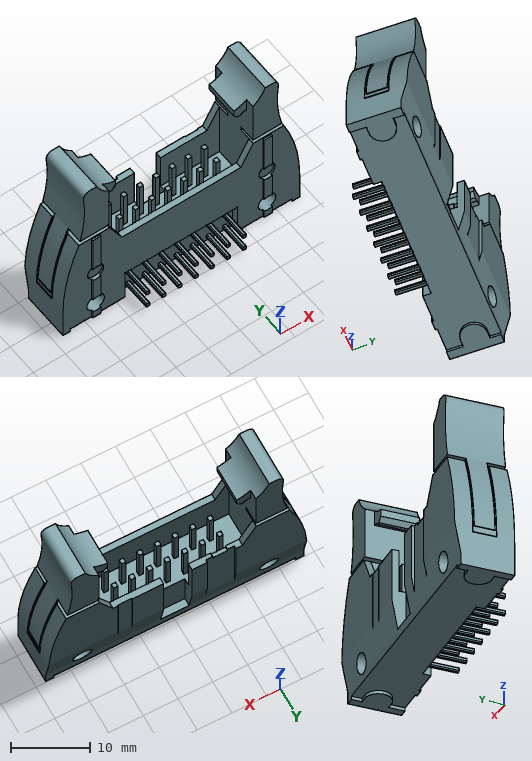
import cadquery as cq
import math


half_width = 18.55
depth = 8.2
body_bottom = 0.5
body_top = 16.95
low_wall_top = 13.43
low_wall_half_width = 9.3
arc_start_z = 4.82
side_radius = 30.8
side_center_x = half_width - side_radius

taper_top = 5.95
taper_bottom = 1.67
bottom_depth = 7.4

cavity_half_width = 11.28
cavity_front = 0.93
cavity_back = 7.25
cavity_floor = 7.5

key_width = 4.08
key_front = 6.3
key_bottom = 1.85
mark_width = 4.08
mark_center = -6.3
mark_depth = 0.4
mark_notch_width = 2.1
mark_notch_drop = 0.37
label_width = 1.95
label_center = 7.53
label_depth = 0.1

ridge_width = 1.2
foot_radius = 1.8
foot_round_x = 16.45
foot_y = 4.08

rib_x = 13.43
rib_width = 1.3
rib_height = 0.25
rib_top = 16.7
hole_z = 3.05
hole_radius = 1.37
pivot_z = 9.5
pivot_radius = 1.25
pivot_depth = 0.25

latch_y = 4.08
latch_bottom = 17.5
latch_top = 27.0
latch_width = 7.98
hook_width = 5.25
arm_width = 2.85
arm_bottom = 6.1
slot_width = 3.25
slot_bottom = 5.15
slot_depth = 0.1

pin_count = 7
pin_pitch = 2.52
pin_size = 0.63
pin_top = 13.32
pin_chamfer = 0.15
pin_root = 0.37
first_row_y = 2.85
first_tail_z = 1.25
tail_length = 3.2
tail_recess_half_width = 8.83
tail_recess_top = 5.5
tail_recess_depth = 1.15


def block(x_min, x_max, y_min, y_max, z_min, z_max):
    """Box given by its limits along each axis."""
    size = (x_max - x_min, y_max - y_min, z_max - z_min)
    return cq.Workplane("XY").box(*size, centered=False).translate((x_min, y_min, z_min))


def on_both_sides(shape):
    return shape.union(shape.mirror("YZ"))


def extrude_along_y(sketch, y_min, y_max):
    """Extrude a closed XZ sketch between two Y positions."""
    return sketch.extrude(y_min - y_max).translate((0, y_min, 0))


def side_x(z):
    """Half width of the curved side at height z."""
    return side_center_x + math.sqrt(side_radius**2 - (z - arc_start_z) ** 2)


def make_body():
    middle_z = (arc_start_z + body_top) / 2
    half_outline = (
        cq.Workplane("XZ")
        .moveTo(0, body_bottom)
        .lineTo(half_width, body_bottom)
        .lineTo(half_width, arc_start_z)
        .threePointArc((side_x(middle_z), middle_z), (side_x(body_top), body_top))
        .lineTo(cavity_half_width, body_top)
        .lineTo(low_wall_half_width, low_wall_top)
        .lineTo(0, low_wall_top)
        .close()
    )
    body = on_both_sides(extrude_along_y(half_outline, 0, depth))
    cavity = block(-cavity_half_width, cavity_half_width, cavity_front, cavity_back, cavity_floor, body_top)
    tail_recess = block(
        -tail_recess_half_width, tail_recess_half_width, 0, tail_recess_depth, body_bottom, tail_recess_top
    )
    return body.cut(cavity).cut(tail_recess)


def make_feet():
    ridge_inner = half_width - ridge_width
    ridge = block(ridge_inner, half_width, 0, depth, 0, body_bottom)
    pad = block(foot_round_x, ridge_inner, foot_y - foot_radius, foot_y + foot_radius, 0, body_bottom)
    round_end = cq.Workplane("XY").center(foot_round_x, foot_y).circle(foot_radius).extrude(body_bottom)
    return on_both_sides(ridge.union(pad).union(round_end))


def make_back_taper():
    """Wedge removed from the lower back of the body and feet."""
    return (
        cq.Workplane("YZ")
        .moveTo(depth, taper_top)
        .lineTo(bottom_depth, taper_bottom)
        .lineTo(bottom_depth, 0)
        .lineTo(depth, 0)
        .close()
        .extrude(half_width, both=True)
    )


def back_wall_cut(center, width, y_min, z_min):
    return block(center - width / 2, center + width / 2, y_min, depth, z_min, low_wall_top)


def make_back_wall_cuts():
    key = back_wall_cut(0, key_width, key_front, key_bottom)
    mark = back_wall_cut(mark_center, mark_width, depth - mark_depth, body_bottom)
    notch = back_wall_cut(mark_center, mark_notch_width, cavity_back, low_wall_top - mark_notch_drop)
    label = back_wall_cut(label_center, label_width, depth - label_depth, body_bottom)
    return key.union(mark).union(notch).union(label)


def make_ribs():
    return on_both_sides(
        block(rib_x - rib_width / 2, rib_x + rib_width / 2, -rib_height, 0, body_bottom, rib_top)
    )


def make_front_holes():
    """Through mounting holes and shallow round recesses, also cutting the ribs."""
    hole = extrude_along_y(cq.Workplane("XZ").center(rib_x, hole_z).circle(hole_radius), -rib_height, depth)
    recess = extrude_along_y(
        cq.Workplane("XZ").center(rib_x, pivot_z).circle(pivot_radius), -rib_height, pivot_depth
    )
    return on_both_sides(hole.union(recess))


def make_latch_slots():
    """Shallow slots that follow the curved sides around the latch arms."""
    slot_front = latch_y - slot_width / 2
    slot_back = latch_y + slot_width / 2
    slot = block(cavity_half_width, half_width, slot_front, slot_back, slot_bottom, body_top)
    slot_floor = extrude_along_y(
        cq.Workplane("XZ").center(side_center_x, arc_start_z).circle(side_radius - slot_depth),
        slot_front,
        slot_back,
    )
    return on_both_sides(slot.cut(slot_floor))


def make_latches():
    inner_x = cavity_half_width
    waist = (15.17, 21.5)
    shoulder = (15.3, 25.85)
    shoulder_middle = (15.03, 26.67)
    shoulder_end_x = 14.3
    thumb_start_x = 13.2
    thumb_middle = (11.87, 25.05)
    hook_tip_x = 9.28
    hook_tip_top = 23.7
    hook_tip_bottom = 22.7
    hook_lip_start_x = 9.87
    hook_lip_end_x = 10.4
    hook_lip_z = 22.07
    hook_fillet_middle = (10.6, 22.35)
    hook_fillet_end_x = 10.9
    hook_underside_z = 22.45

    profile = (
        cq.Workplane("XZ")
        .moveTo(inner_x, latch_bottom)
        .lineTo(side_x(latch_bottom), latch_bottom)
        .threePointArc(waist, shoulder)
        .threePointArc(shoulder_middle, (shoulder_end_x, latch_top))
        .lineTo(thumb_start_x, latch_top)
        .threePointArc(thumb_middle, (hook_tip_x, hook_tip_top))
        .lineTo(hook_tip_x, hook_tip_bottom)
        .lineTo(hook_lip_start_x, hook_lip_z)
        .lineTo(hook_lip_end_x, hook_lip_z)
        .threePointArc(hook_fillet_middle, (hook_fillet_end_x, hook_underside_z))
        .lineTo(inner_x, hook_underside_z)
        .close()
    )
    head = extrude_along_y(profile, latch_y - latch_width / 2, latch_y + latch_width / 2)
    hook_space = block(
        hook_tip_x, inner_x, latch_y - hook_width / 2, latch_y + hook_width / 2, latch_bottom, latch_top
    )
    thumb_space = block(inner_x, half_width, 0, depth, latch_bottom, latch_top)
    head = head.intersect(hook_space.union(thumb_space))

    middle_z = (arm_bottom + latch_bottom) / 2
    arm_outline = (
        cq.Workplane("XZ")
        .moveTo(inner_x, arm_bottom)
        .lineTo(side_x(arm_bottom), arm_bottom)
        .threePointArc((side_x(middle_z), middle_z), (side_x(latch_bottom), latch_bottom))
        .lineTo(inner_x, latch_bottom)
        .close()
    )
    arm_front = latch_y - arm_width / 2
    arm = extrude_along_y(arm_outline, arm_front, arm_front + arm_width)
    return on_both_sides(head.union(arm))


def make_pins():
    """Two rows of upright pins in the cavity and two rows of tails at the front."""
    upright_length = pin_top - cavity_floor + pin_root
    tail_end_to_root = tail_length + tail_recess_depth + pin_root
    upright = (
        cq.Workplane("XY").rect(pin_size, pin_size).extrude(upright_length)
        .translate((0, 0, cavity_floor - pin_root))
    )
    tail = (
        cq.Workplane("XZ").rect(pin_size, pin_size).extrude(tail_end_to_root)
        .edges("|Y").chamfer(pin_chamfer)
        .translate((0, tail_recess_depth + pin_root, 0))
    )
    pins = cq.Workplane("XY")
    for column in range(pin_count):
        x = (column - (pin_count - 1) / 2) * pin_pitch
        for row in range(2):
            pins.add(upright.translate((x, first_row_y + row * pin_pitch, 0)))
            pins.add(tail.translate((x, 0, first_tail_z + row * pin_pitch)))
    return pins.combine()


result = (
    make_body()
    .union(make_feet())
    .cut(make_back_taper())
    .cut(make_back_wall_cuts())
    .union(make_ribs())
    .cut(make_front_holes())
    .cut(make_latch_slots())
    .union(make_latches())
    .union(make_pins())
)